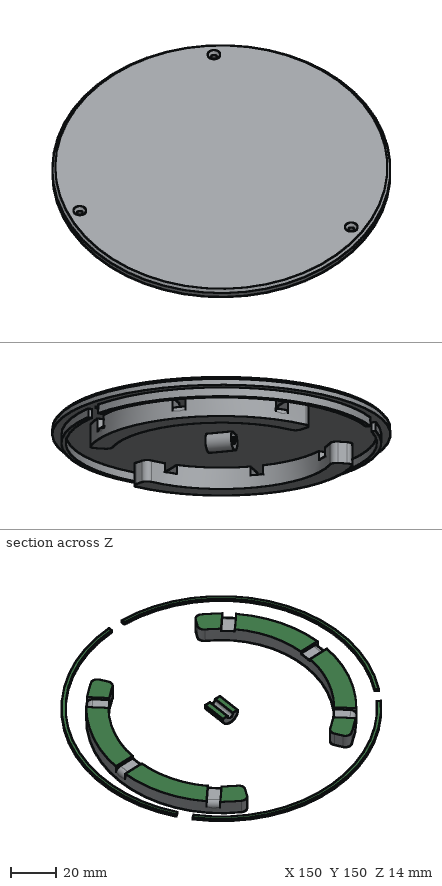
import cadquery as cq
import math

plate_diameter = 150.0
plate_thickness = 4.0
plate_chamfer = 1.4
overall_height = 14.0

rim_radius = 71.0
rim_wall = 2.0
rim_height = 4.0
rim_bottom = -(plate_thickness + rim_height)

screw_angles = (0, 125, -125)
screw_circle_radius = 68.1
screw_hole_diameter = 2.5
countersink_diameter = 5.5
countersink_angle = 90
rim_gap_width = 7.4
rim_gap_length = 3 * rim_wall

wall_outer_radius = 60.0
wall_inner_radius = 50.0
wall_start_angle = 30
wall_span_angle = 120
wall_corner_radius = 3.0
wall_height = overall_height - plate_thickness

slot_angles = (45, 90, 135, 225, 270, 315)
slot_width = 6.0
slot_height = rim_height
slot_lip_radius = 2.7
slot_overrun = 1.5

boss_diameter = 9.0
boss_length = 12.0
boss_bore_diameter = 3.0
boss_axis_rise = 0.8
boss_axis_z = rim_bottom + boss_axis_rise


def polar(radius, angle):
    """Point at a radius and an angle in degrees about the Z axis."""
    turn = math.radians(angle)
    return (radius * math.cos(turn), radius * math.sin(turn))


def make_plate():
    disc = cq.Workplane("XY").circle(plate_diameter / 2).extrude(-plate_thickness)
    return disc.faces(">Z").edges().chamfer(plate_chamfer)


def make_rim():
    rim = (
        cq.Workplane("XY", origin=(0, 0, -plate_thickness))
        .circle(rim_radius)
        .circle(rim_radius - rim_wall)
        .extrude(-rim_height)
    )
    gap_start = rim_radius - 2 * rim_wall
    for angle in screw_angles:
        gap = (
            cq.Workplane("XY")
            .box(rim_gap_length, rim_gap_width, rim_height, centered=(False, True, False))
            .translate((gap_start, 0, rim_bottom))
        )
        rim = rim.cut(gap.rotate((0, 0, 0), (0, 0, 1), angle))
    return rim


def make_wall(start_angle):
    """Curved wall with rounded vertical corners, starting at an angle about the Z axis."""
    end_angle = start_angle + wall_span_angle
    middle_angle = start_angle + wall_span_angle / 2
    return (
        cq.Workplane("XY", origin=(0, 0, -plate_thickness))
        .moveTo(*polar(wall_outer_radius, start_angle))
        .threePointArc(polar(wall_outer_radius, middle_angle), polar(wall_outer_radius, end_angle))
        .lineTo(*polar(wall_inner_radius, end_angle))
        .threePointArc(polar(wall_inner_radius, middle_angle), polar(wall_inner_radius, start_angle))
        .close()
        .extrude(-wall_height)
        .edges("|Z")
        .fillet(wall_corner_radius)
    )


def make_slot_cutter(angle):
    """Radial slot under the plate whose floor curves down at the outer wall face."""
    inner_end = wall_inner_radius - slot_overrun
    outer_end = wall_outer_radius + slot_overrun
    floor_z = -plate_thickness - slot_height
    lip_start = wall_outer_radius - slot_lip_radius
    lip_bottom_z = floor_z - slot_lip_radius
    lip_offset = slot_lip_radius * math.sin(math.radians(45))
    lip_middle = (lip_start + lip_offset, lip_bottom_z + lip_offset)
    cutter = (
        cq.Workplane("XZ")
        .moveTo(inner_end, -plate_thickness)
        .lineTo(inner_end, floor_z)
        .lineTo(lip_start, floor_z)
        .threePointArc(lip_middle, (wall_outer_radius, lip_bottom_z))
        .lineTo(outer_end, lip_bottom_z)
        .lineTo(outer_end, -plate_thickness)
        .close()
        .extrude(slot_width / 2, both=True)
    )
    return cutter.rotate((0, 0, 0), (0, 0, 1), angle)


def make_walls():
    walls = make_wall(wall_start_angle).union(make_wall(wall_start_angle + 180))
    for angle in slot_angles:
        walls = walls.cut(make_slot_cutter(angle))
    return walls


def boss_cylinder(diameter):
    return (
        cq.Workplane("YZ", origin=(-boss_length / 2, 0, boss_axis_z))
        .circle(diameter / 2)
        .extrude(boss_length)
    )


body = make_plate().union(make_rim()).union(make_walls())
body = body.union(boss_cylinder(boss_diameter)).cut(boss_cylinder(boss_bore_diameter))

result = (
    body.faces(">Z")
    .workplane(origin=(0, 0, 0))
    .pushPoints([polar(screw_circle_radius, angle) for angle in screw_angles])
    .cskHole(screw_hole_diameter, countersink_diameter, countersink_angle)
)